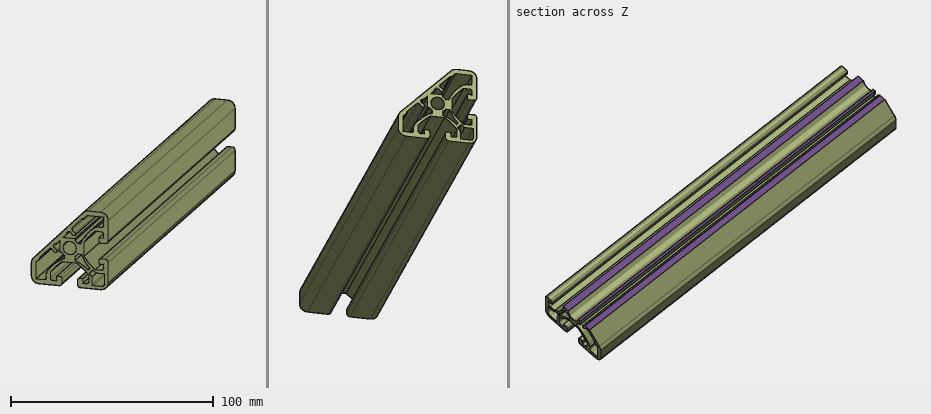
import cadquery as cq
import math

length = 200.0
half_size = 20.0
outer_radius = 4.0
corner_cut = 28.0

side_wall = 2.5
sloped_wall = 2.0
sloped_wall_land = 0.5
thin_wall = 1.8
slot_bow = 0.3
pocket_bow = 0.5
chamber_bow = 0.8
inner_radius = 1.2

bore_diameter = 6.8
boss_wall = 1.7
spoke_width = 5.5
spoke_facet = 1.5

mouth_half_width = 4.0
lip_depth = 4.8
lip_width = 2.8
lip_outer_radius = 1.5
lip_inner_radius = 1.0
slot_width = 19.8
slot_floor_x = 7.5
slot_floor_half_width = 3.5
slot_shoulder_x = 13.2

chamber_arm_start_x = 5.5
chamber_arm_end_x = 12.8
chamber_arm_end_z = 11.5
chamber_shelf_x = 14.5
chamber_shelf_z = 12.2

clip_width = 1.5
clip_length = 3.5
clip_offset = 6.8
clip_root_radius = 0.8
thin_start_offset = 4.2
thin_end_offset = 15.8

pocket_arm_start = 6.2
pocket_tip_near = 9.5
pocket_tip_far = 10.5
corner_chamber_side = 11.5
corner_chamber_bend = 13.8
corner_chamber_facet_near = 10.2
corner_chamber_facet_far = 12.0
corner_chamber_radius = 0.5
corner_chamber_outer_radius = 1.5

side_inner = half_size - side_wall
boss_half_width = bore_diameter / 2 + boss_wall
spoke_half_width = spoke_width / 2
slot_half_width = slot_width / 2
facet_end = spoke_half_width + spoke_facet
cut_intercept = 2 * half_size - corner_cut
slope_inner_intercept = cut_intercept - sloped_wall * math.sqrt(2)
slope_land_intercept = slope_inner_intercept - sloped_wall_land * math.sqrt(2)


def section():
    return cq.Workplane("XZ")


def bar(outline):
    return outline.extrude(length / 2, both=True)


def rounded(solid, corners, radius):
    """Round the lengthwise edges of a solid that pass through the given (x, z) corners."""
    for x, z in corners:
        edge = cq.selectors.NearestToPointSelector((x, 0, z))
        solid = solid.edges("|Y").edges(edge).fillet(radius)
    return solid


def mirrored(solid):
    """Mirror a solid across the section's symmetry line z = -x."""
    return solid.mirror(cq.Vector(1, 0, 1))


def on_slope(offset, intercept):
    """Point (x, z) on the line z = x + intercept, at a distance from the mirror line."""
    coordinate_sum = offset * math.sqrt(2)
    return (coordinate_sum - intercept) / 2, (coordinate_sum + intercept) / 2


def body():
    outline = section().polyline([
        (-half_size, -half_size),
        (half_size, -half_size),
        (half_size, half_size),
        (corner_cut - half_size, half_size),
        (-half_size, half_size - corner_cut),
    ]).close()
    return bar(outline).edges("|Y").fillet(outer_radius)


def slot():
    """T-slot that opens toward +X, with rounded lips."""
    lip_back_x = half_size - lip_depth
    lip_back_z = mouth_half_width + lip_width
    outside_x = half_size + lip_depth
    upper_side = [
        (slot_shoulder_x, slot_half_width),
        (side_inner, slot_half_width),
        (side_inner, lip_back_z),
        (lip_back_x, lip_back_z),
        (lip_back_x, mouth_half_width),
        (half_size, mouth_half_width),
        (half_size, lip_back_z),
        (outside_x, lip_back_z),
    ]
    lower_side = [(x, -z) for x, z in reversed(upper_side)]
    outline = (
        section()
        .moveTo(slot_floor_x, -slot_floor_half_width)
        .lineTo(slot_floor_x, slot_floor_half_width)
        .sagittaArc(upper_side[0], slot_bow)
        .polyline(upper_side[1:] + lower_side, includeCurrent=True)
        .sagittaArc((slot_floor_x, -slot_floor_half_width), slot_bow)
        .close()
    )
    cutter = bar(outline)
    for side in (1, -1):
        cutter = rounded(cutter, [(side_inner, side * slot_half_width)], inner_radius)
        cutter = rounded(cutter, [(half_size, side * mouth_half_width)], lip_outer_radius)
        cutter = rounded(cutter, [(lip_back_x, side * mouth_half_width)], lip_inner_radius)
    return cutter


def clip():
    """Rib with a round end, square to the sloped face and starting inside its wall."""
    reach = sloped_wall / 2 + clip_length
    straight = reach - clip_width / 2
    outline = (
        section()
        .moveTo(-clip_width / 2, 0)
        .lineTo(-clip_width / 2, -straight)
        .threePointArc((0, -reach), (clip_width / 2, -straight))
        .lineTo(clip_width / 2, 0)
        .close()
    )
    face_distance = slope_inner_intercept / math.sqrt(2) + sloped_wall / 2
    rib = bar(outline).translate((clip_offset, 0, face_distance))
    return rib.rotate((0, 0, 0), (0, 1, 0), -45)


def open_chamber():
    """Chamber between the sloped face, the boss and the arm of the +X slot."""
    outline = (
        section()
        .moveTo(boss_half_width - slope_land_intercept, boss_half_width)
        .lineTo(spoke_half_width, boss_half_width)
        .lineTo(spoke_half_width, facet_end)
        .lineTo(facet_end, spoke_half_width)
        .lineTo(chamber_arm_start_x, spoke_half_width)
        .sagittaArc((chamber_arm_end_x, chamber_arm_end_z), chamber_bow)
        .lineTo(chamber_shelf_x, chamber_shelf_z)
        .lineTo(side_inner, chamber_shelf_z)
        .lineTo(side_inner, side_inner)
        .lineTo(side_inner - slope_land_intercept, side_inner)
        .lineTo(*on_slope(thin_end_offset, slope_land_intercept))
        .lineTo(*on_slope(thin_end_offset, slope_inner_intercept))
        .lineTo(*on_slope(thin_start_offset, slope_inner_intercept))
        .lineTo(*on_slope(thin_start_offset, slope_land_intercept))
        .close()
    )
    cutter = rounded(bar(outline), [(side_inner, chamber_shelf_z)], inner_radius)
    cutter = cutter.cut(clip())
    clip_roots = [
        on_slope(clip_offset - clip_width / 2, slope_inner_intercept),
        on_slope(clip_offset + clip_width / 2, slope_inner_intercept),
    ]
    return rounded(cutter, clip_roots, clip_root_radius)


def middle_pocket():
    """Pocket enclosed by the boss and the arms of both slots."""
    outline = (
        section()
        .moveTo(spoke_half_width, -facet_end)
        .lineTo(facet_end, -spoke_half_width)
        .lineTo(pocket_arm_start, -spoke_half_width)
        .sagittaArc((pocket_tip_far, -pocket_tip_near), -pocket_bow)
        .lineTo(pocket_tip_near, -pocket_tip_far)
        .sagittaArc((spoke_half_width, -pocket_arm_start), -pocket_bow)
        .close()
    )
    return bar(outline)


def corner_chamber():
    """Closed chamber in the square corner of the section."""
    far_side = half_size - thin_wall
    outline = section().polyline([
        (corner_chamber_side, -far_side),
        (corner_chamber_side, -corner_chamber_bend),
        (corner_chamber_facet_near, -corner_chamber_facet_far),
        (corner_chamber_facet_far, -corner_chamber_facet_near),
        (corner_chamber_bend, -corner_chamber_side),
        (far_side, -corner_chamber_side),
        (far_side, -far_side),
    ]).close()
    cutter = rounded(bar(outline), [(far_side, -far_side)], corner_chamber_outer_radius)
    ends = [(corner_chamber_side, -far_side), (far_side, -corner_chamber_side)]
    return rounded(cutter, ends, corner_chamber_radius)


bore = bar(section().circle(bore_diameter / 2))
result = body().cut(bore).cut(middle_pocket()).cut(corner_chamber())
for cutter in (slot(), open_chamber()):
    result = result.cut(cutter).cut(mirrored(cutter))